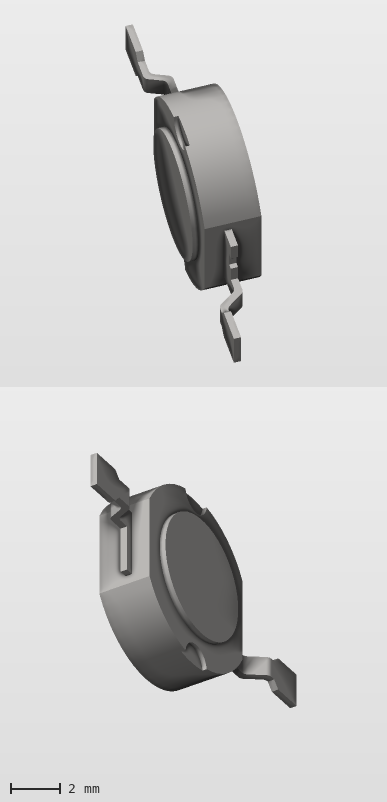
import cadquery as cq

base_diameter = 5.5
base_thickness = 0.27
body_radius = 3.99
body_thickness = 2.37
body_width = 7.04
window_diameter = 4.0
window_thickness = 0.3
body_back = base_thickness + body_thickness

scallop_radius = 0.8
scallop_depth = 0.2

lead_thickness = 0.3
root_front = 1.1
foot_front = base_thickness
root_back = root_front + lead_thickness
foot_back = foot_front + lead_thickness
bend_radius = 0.25
lead_embed_x = 3.02
strip_half_height = 1.48
neck_width = 0.88
foot_flare = 0.32
neck_inner_z = strip_half_height - neck_width
foot_outer_z = strip_half_height + foot_flare
foot_inner_z = neck_inner_z - foot_flare

left_tip_x = 7.5
left_flare_x = (5.81, 6.1)
left_shoulder_x = 3.9
left_front_bend_x = (4.56, 4.92)
left_back_bend_x = (4.74, 5.1)

right_tip_x = 7.6
right_flare_x = (5.9, 6.2)
right_shoulder_x = 4.4
right_front_bend_x = (4.95, 5.55)
right_back_bend_x = (5.13, 5.74)
lead_notch_depth = 0.23
lead_notch_width = 0.65
lead_notch_center_z = 0.43


def disc(radius, front, thickness):
    """Disc on the package axis, growing towards +Y from its front face."""
    return cq.Workplane("XZ", origin=(0, front, 0)).circle(radius).extrude(-thickness)


def make_package():
    body = disc(body_radius, base_thickness, body_thickness)
    flats = cq.Workplane("XY").box(body_width, 4 * body_thickness, 2 * body_radius)
    body = body.intersect(flats)
    for side in (-1, 1):
        scallop = disc(scallop_radius, base_thickness, scallop_depth)
        body = body.cut(scallop.translate((0, 0, side * body_radius)))
    base = disc(base_diameter / 2, 0, base_thickness)
    window = disc(window_diameter / 2, body_back, window_thickness)
    return body.union(base).union(window)


def make_lead(tip_x, flare_x, shoulder_x, front_bend_x, back_bend_x):
    """Lead pointing to +X with its foot on the +Z side."""
    flare_start, flare_end = flare_x
    outline = [
        (lead_embed_x, -strip_half_height),
        (shoulder_x, -strip_half_height),
        (shoulder_x, neck_inner_z),
        (flare_start, neck_inner_z),
        (flare_end, foot_inner_z),
        (tip_x, foot_inner_z),
        (tip_x, foot_outer_z),
        (flare_end, foot_outer_z),
        (flare_start, strip_half_height),
        (lead_embed_x, strip_half_height),
    ]
    blank = cq.Workplane("XZ").polyline(outline).close().extrude(-body_back)

    joggle = [
        (lead_embed_x, root_front),
        (front_bend_x[0], root_front),
        (front_bend_x[1], foot_front),
        (tip_x, foot_front),
        (tip_x, foot_back),
        (back_bend_x[1], foot_back),
        (back_bend_x[0], root_back),
        (lead_embed_x, root_back),
    ]
    strip = cq.Workplane("XY").polyline(joggle).close().extrude(foot_outer_z, both=True)
    bends = cq.selectors.BoxSelector(
        (front_bend_x[0] - lead_thickness, 0, -lead_thickness),
        (back_bend_x[1] + lead_thickness, body_back, lead_thickness),
    )
    strip = strip.edges("|Z").edges(bends).fillet(bend_radius)
    return strip.intersect(blank)


def make_left_lead():
    lead = make_lead(left_tip_x, left_flare_x, left_shoulder_x, left_front_bend_x, left_back_bend_x)
    return lead.mirror("YZ")


def make_right_lead():
    lead = make_lead(right_tip_x, right_flare_x, right_shoulder_x, right_front_bend_x, right_back_bend_x)
    notch = cq.Workplane("XY").box(2 * lead_notch_depth, 2 * body_back, lead_notch_width)
    lead = lead.mirror("XY")
    return lead.cut(notch.translate((right_shoulder_x, 0, lead_notch_center_z)))


result = make_package().union(make_left_lead()).union(make_right_lead())